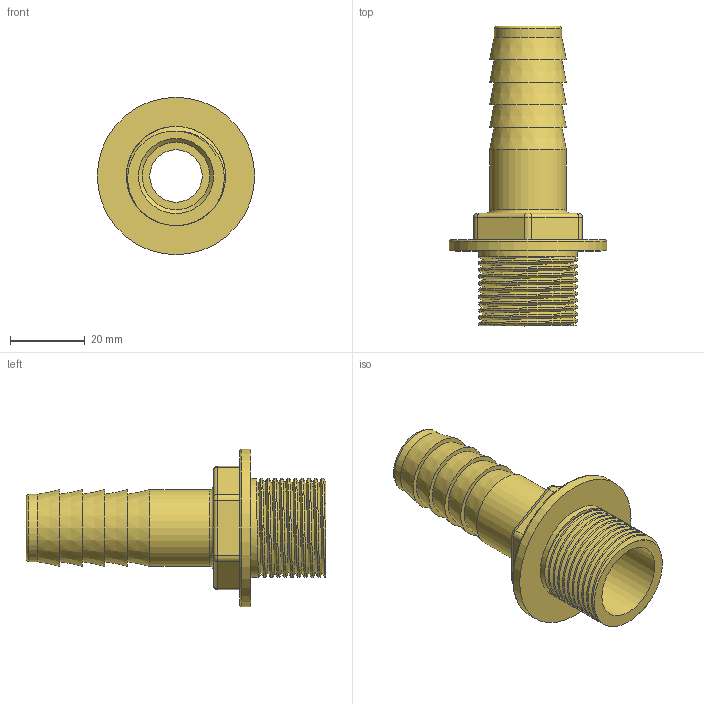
import cadquery as cq
import math


THREADED_END_LENGTH = 20.0
COLLAR_LENGTH = 1.6
FLANGE_THICKNESS = 3.0
HEX_LENGTH = 7.0
SHAFT_LENGTH = 17.0
BARB_COUNT = 5
BARB_PITCH = 6.0
TIP_LENGTH = 3.0

FLANGE_START = THREADED_END_LENGTH
HEX_START = FLANGE_START + FLANGE_THICKNESS
SHAFT_START = HEX_START + HEX_LENGTH
BARB_START = SHAFT_START + SHAFT_LENGTH
TIP_START = BARB_START + BARB_COUNT * BARB_PITCH
TOTAL_LENGTH = TIP_START + TIP_LENGTH

FLANGE_DIAMETER = 42.0
HEX_ACROSS_FLATS = 29.0
SHAFT_DIAMETER = 20.5
TIP_DIAMETER = 18.0

FLANGE_EDGE_RADIUS = 0.5
HEX_CORNER_RADIUS = 2.0
HEX_TOP_RADIUS = 1.0
NECK_RADIUS = 1.0
TIP_EDGE_RADIUS = 0.75

THREAD_DIAMETER = 26.44
THREAD_PITCH = 25.4 / 14
THREAD_DEPTH = 1.25
THREAD_ANGLE = 55.0
THREAD_TURNS = 11
THREAD_LEAD_IN_TURNS = 0.5
CUTTER_MARGIN = 0.2

THROUGH_HOLE_DIAMETER = 14.0
SOCKET_MOUTH_DIAMETER = 20.0
SOCKET_BOTTOM_DIAMETER = 18.0
SOCKET_TAPER_LENGTH = 1.0
SOCKET_DEPTH = HEX_START

AXIS_PLANE = cq.Plane(origin=(0, 0, 0), xDir=(0, 0, 1), normal=(0, 1, 0))


def axis_workplane(position):
    """Workplane square to the part axis at the given distance from the mouth."""
    return cq.Workplane(AXIS_PLANE).workplane(offset=position)


def make_thread_groove():
    """Right-hand V groove whose centre line crosses the mouth plane on the +Z side."""
    root_radius = THREAD_DIAMETER / 2 - THREAD_DEPTH
    outer_radius = THREAD_DIAMETER / 2 + CUTTER_MARGIN
    half_width = (outer_radius - root_radius) * math.tan(math.radians(THREAD_ANGLE / 2))
    lead_in = THREAD_LEAD_IN_TURNS * THREAD_PITCH
    helix_height = THREAD_TURNS * THREAD_PITCH + lead_in

    helix = cq.Wire.makeHelix(THREAD_PITCH, helix_height, root_radius)
    groove = (
        cq.Workplane("XZ")
        .polyline([(root_radius, 0), (outer_radius, half_width), (outer_radius, -half_width)])
        .close()
        .sweep(cq.Workplane(helix), isFrenet=True)
    )
    groove = groove.rotate((0, 0, 0), (0, 0, 1), -360 * THREAD_LEAD_IN_TURNS)
    groove = groove.translate((0, 0, -lead_in))
    return cq.Workplane(groove.val().moved(cq.Location(AXIS_PLANE)))


def make_threaded_end():
    """Thread from the mouth up to a plain collar of the same diameter below the flange."""
    grooved_length = FLANGE_START - COLLAR_LENGTH
    grooved = axis_workplane(0).circle(THREAD_DIAMETER / 2).extrude(grooved_length)
    collar = axis_workplane(grooved_length).circle(THREAD_DIAMETER / 2).extrude(COLLAR_LENGTH)
    return grooved.cut(make_thread_groove()).union(collar)


def make_flange():
    disc = axis_workplane(FLANGE_START).circle(FLANGE_DIAMETER / 2).extrude(FLANGE_THICKNESS)
    return disc.faces(">Y").edges().fillet(FLANGE_EDGE_RADIUS)


def make_hex():
    """Hexagon with two corners on the Z axis, rounded on its corners and its outer face."""
    across_corners = HEX_ACROSS_FLATS / math.cos(math.radians(30))
    prism = axis_workplane(HEX_START).polygon(6, across_corners).extrude(HEX_LENGTH)
    prism = prism.edges("|Y").fillet(HEX_CORNER_RADIUS)
    return prism.faces(">Y").edges().fillet(HEX_TOP_RADIUS)


def make_hose_tail():
    """Shaft with a filleted neck, saw-tooth barbs and a rounded tip, revolved about the axis."""
    shaft_radius = SHAFT_DIAMETER / 2
    tip_radius = TIP_DIAMETER / 2
    mid_share = 1 - math.sqrt(0.5)
    neck_mid = NECK_RADIUS * mid_share
    tip_mid = TIP_EDGE_RADIUS * mid_share

    outline = (
        cq.Workplane("XY")
        .moveTo(0, SHAFT_START)
        .lineTo(shaft_radius + NECK_RADIUS, SHAFT_START)
        .threePointArc(
            (shaft_radius + neck_mid, SHAFT_START + neck_mid),
            (shaft_radius, SHAFT_START + NECK_RADIUS),
        )
        .lineTo(shaft_radius, BARB_START)
    )
    for barb in range(BARB_COUNT):
        barb_base = BARB_START + barb * BARB_PITCH
        if barb > 0:
            outline = outline.lineTo(shaft_radius, barb_base)
        outline = outline.lineTo(tip_radius, barb_base + BARB_PITCH)

    outline = (
        outline.lineTo(tip_radius, TOTAL_LENGTH - TIP_EDGE_RADIUS)
        .threePointArc(
            (tip_radius - tip_mid, TOTAL_LENGTH - tip_mid),
            (tip_radius - TIP_EDGE_RADIUS, TOTAL_LENGTH),
        )
        .lineTo(0, TOTAL_LENGTH)
        .close()
    )
    return outline.revolve(360, (0, 0, 0), (0, 1, 0))


def make_bore():
    through_hole = axis_workplane(0).circle(THROUGH_HOLE_DIAMETER / 2).extrude(TOTAL_LENGTH)
    taper_start = SOCKET_DEPTH - SOCKET_TAPER_LENGTH
    socket_radius = SOCKET_MOUTH_DIAMETER / 2
    socket = (
        cq.Workplane("XY")
        .polyline(
            [
                (0, 0),
                (socket_radius, 0),
                (socket_radius, taper_start),
                (SOCKET_BOTTOM_DIAMETER / 2, SOCKET_DEPTH),
                (0, SOCKET_DEPTH),
            ]
        )
        .close()
        .revolve(360, (0, 0, 0), (0, 1, 0))
    )
    return through_hole.union(socket)


result = make_threaded_end().union(make_flange()).union(make_hex()).union(make_hose_tail()).cut(make_bore())